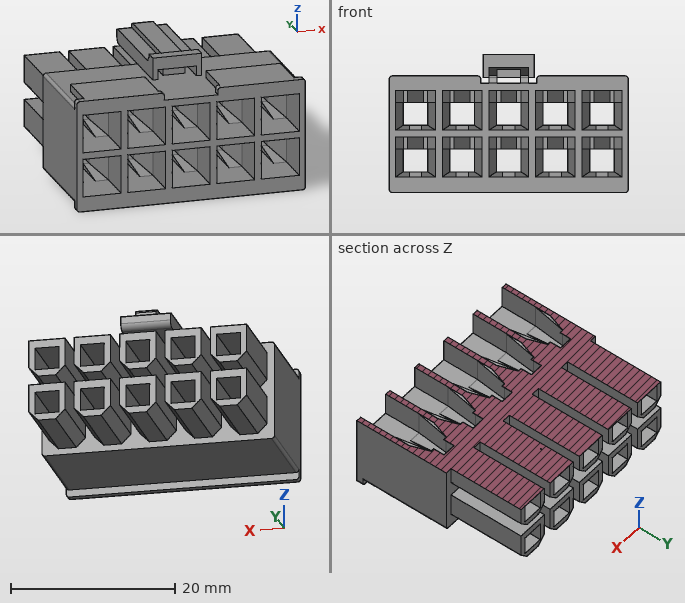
import cadquery as cq
import math


width = 29.15
length = 24.92
flange_height = 14.25
flange_depth = 1.0
body_length = 14.0
body_step = 0.9
body_top = flange_height - body_step
corner_radius = 0.38

pad_length = 6.55
pad_inner_x = 3.9
pad_outer_x = 13.4
notch_half_width = 3.4

columns = 5
pitch = 5.68
row_floors = (1.92, 1.92 + pitch)
cell_size = 4.85
hole_width = 2.97
hole_bottom = 0.6
hole_top = 3.38
side_taper = (cell_size - hole_width) / 2
funnel_slope = 79.4
upper_slope = 71.0
funnel_start = 5.25
throat = funnel_start + side_taper * math.tan(math.radians(funnel_slope))
upper_start = throat - side_taper * math.tan(math.radians(upper_slope))
roof_groove_width = 1.92
roof_groove_slope = 48.0
floor_slot_width = 1.52

post_width = 4.55
post_height = 4.63
post_bottom = -0.23
post_chamfer = 1.17

latch_width = 6.25
latch_front = 5.77
latch_back = 20.7
latch_bottom = 14.02
latch_top = 16.85
head_back = 7.32
ramp_foot = 8.02
ledge_top = 15.83
ledge_curve = (0.4, 0.6)
rib_width = 2.6
rib_top = 16.5
rib_back = 20.55
rib_curve = (0.7, 0.82)
tail_radius = 0.8

channel_width = 4.87
channel_front_top = 15.27
channel_end_top = 14.25
web_width = 2.83
web_front = 7.1
foot_front = 11.55
foot_back = 13.12
foot_flare = 0.38
foot_flare_radius = 0.8


def block(x_size, y_start, y_end, z_bottom, z_top, x_center=0.0):
    """Box centred on x_center in X, between the given Y and Z limits."""
    corner = (x_center - x_size / 2, y_start, z_bottom)
    return cq.Workplane("XY").box(x_size, y_end - y_start, z_top - z_bottom, centered=False).translate(corner)


def along_x(profile, x_size, x_center=0.0):
    """Extrude a closed YZ outline over x_size, centred on x_center."""
    return profile.extrude(x_size / 2, both=True).translate((x_center, 0, 0))


def funnel(x_center, y_start, z_start, z_end):
    """Passage narrowing from cell width to hole width; z_start and z_end are (bottom, top)."""
    start_height = z_start[1] - z_start[0]
    end_height = z_end[1] - z_end[0]
    start_z = (z_start[0] + z_start[1]) / 2
    end_z = (z_end[0] + z_end[1]) / 2
    return (
        cq.Workplane("XZ", origin=(x_center, y_start, start_z))
        .rect(cell_size, start_height)
        .workplane(offset=y_start - throat)
        .center(0, end_z - start_z)
        .rect(hole_width, end_height)
        .loft(ruled=True)
    )


def make_housing():
    flange = block(width, 0, flange_depth, 0, flange_height).edges("|Y").fillet(corner_radius)
    body = block(width, 0, body_length, body_step, body_top).edges("|Y").fillet(corner_radius)
    housing = flange.union(body)
    notch = block(2 * notch_half_width, 0, flange_depth, body_top, flange_height)
    housing = housing.cut(notch)
    margin = 0.03
    rim = cq.selectors.BoxSelector(
        (-notch_half_width - margin, -margin, flange_height - margin),
        (notch_half_width + margin, flange_depth + margin, flange_height + margin),
    )
    housing = housing.edges("|Y").edges(rim).fillet(corner_radius)
    pad_width = pad_outer_x - pad_inner_x
    for side in (-1, 1):
        pad_center = side * (pad_outer_x + pad_inner_x) / 2
        housing = housing.union(block(pad_width, 0, pad_length, body_step, flange_height, pad_center))
    return housing


def make_post(x, floor):
    bottom = floor + post_bottom
    post = block(post_width, throat, length, bottom, bottom + post_height, x)
    return post.edges("|Y and <Z").chamfer(post_chamfer)


def make_cell(x, floor):
    hole_z = (floor + hole_bottom, floor + hole_top)
    roof = floor + cell_size
    cell = block(cell_size, 0, funnel_start, floor, roof, x)
    cell = cell.union(block(hole_width, 0, length, *hole_z, x))
    cell = cell.union(funnel(x, funnel_start, (floor, hole_z[1]), hole_z))
    cell = cell.union(block(cell_size, 0, upper_start, hole_z[1], roof, x))
    cell = cell.union(funnel(x, upper_start, (hole_z[1], roof), (hole_z[1], roof)))
    cell = cell.union(block(floor_slot_width, 0, throat, floor, hole_z[1], x))
    groove_end = throat + (roof - hole_z[1]) * math.tan(math.radians(roof_groove_slope))
    groove = cq.Workplane("YZ").polyline([(throat, hole_z[1]), (groove_end, hole_z[1]), (throat, roof)]).close()
    return cell.union(along_x(groove, roof_groove_width, x))


def arm_layer(top, back, top_curve, x_size):
    """Arm slab from the head to the tail; the top curve starts level and ends at a crease on the tail."""
    curve_length, curve_radius = top_curve
    curve_drop = curve_radius - math.sqrt(curve_radius**2 - curve_length**2)
    profile = (
        cq.Workplane("YZ")
        .moveTo(latch_front, latch_bottom)
        .lineTo(latch_front, top)
        .lineTo(back - curve_length, top)
        .radiusArc((back, top - curve_drop), curve_radius)
        .lineTo(back, latch_bottom)
        .close()
    )
    return along_x(profile, x_size).edges(">Y and <Z").fillet(tail_radius)


def make_latch():
    latch = arm_layer(ledge_top, latch_back, ledge_curve, latch_width)
    latch = latch.union(arm_layer(rib_top, rib_back, rib_curve, rib_width))
    head = (
        cq.Workplane("YZ")
        .polyline([
            (latch_front, latch_bottom),
            (ramp_foot, latch_bottom),
            (ramp_foot, ledge_top),
            (head_back, rib_top),
            (head_back, latch_top),
            (latch_front, latch_top),
        ])
        .close()
    )
    latch = latch.union(along_x(head, latch_width))

    channel = (
        cq.Workplane("YZ")
        .polyline([
            (latch_front, latch_bottom),
            (foot_front, latch_bottom),
            (foot_front, channel_end_top),
            (latch_front, channel_front_top),
        ])
        .close()
    )
    web = block(web_width, web_front, foot_front, latch_bottom, ledge_top)
    latch = latch.cut(along_x(channel, channel_width)).union(web)

    foot_width = (channel_width - web_width) / 2
    for side in (-1, 1):
        foot = (
            cq.Workplane("YZ")
            .moveTo(foot_front - foot_flare, body_top)
            .lineTo(foot_back + foot_flare, body_top)
            .radiusArc((foot_back, latch_bottom), foot_flare_radius)
            .lineTo(foot_back, channel_end_top)
            .lineTo(foot_front, channel_end_top)
            .lineTo(foot_front, latch_bottom)
            .radiusArc((foot_front - foot_flare, body_top), foot_flare_radius)
            .close()
        )
        latch = latch.union(along_x(foot, foot_width, side * (channel_width - foot_width) / 2))
    return latch


column_centers = [(i - (columns - 1) / 2) * pitch for i in range(columns)]
cell_places = [(x, floor) for x in column_centers for floor in row_floors]

result = make_housing()
for place in cell_places:
    result = result.union(make_post(*place))
for place in cell_places:
    result = result.cut(make_cell(*place))
result = result.union(make_latch())